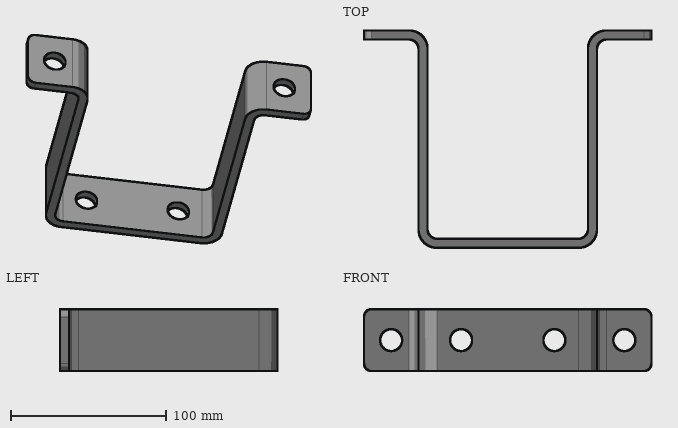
import cadquery as cq

thickness = 6.0
height = 40.0
inner_bend_radius = 6.0
outer_bend_radius = inner_bend_radius + thickness

overall_width = 185.0
overall_depth = 140.0
channel_width = 115.0
corner_radius = 5.0

hole_diameter = 14.0
web_hole_spacing = 60.0
flange_hole_spacing = 150.0

half_width = overall_width / 2
leg_outer_x = channel_width / 2
leg_inner_x = leg_outer_x - thickness
flange_front_y = overall_depth - thickness


def make_bent_strip():
    """Extrude the sharp-cornered hat profile, then round its four bends."""
    profile = [
        (-half_width, overall_depth),
        (-leg_inner_x, overall_depth),
        (-leg_inner_x, thickness),
        (leg_inner_x, thickness),
        (leg_inner_x, overall_depth),
        (half_width, overall_depth),
        (half_width, flange_front_y),
        (leg_outer_x, flange_front_y),
        (leg_outer_x, 0),
        (-leg_outer_x, 0),
        (-leg_outer_x, flange_front_y),
        (-half_width, flange_front_y),
    ]
    inner_bends = []
    outer_bends = []
    for side in (-1, 1):
        inner_bends.append((side * leg_inner_x, thickness))
        inner_bends.append((side * leg_outer_x, flange_front_y))
        outer_bends.append((side * leg_outer_x, 0))
        outer_bends.append((side * leg_inner_x, overall_depth))

    strip = cq.Workplane("XY").polyline(profile).close().extrude(height / 2, both=True)
    strip = round_vertical_edges(strip, inner_bends, inner_bend_radius)
    return round_vertical_edges(strip, outer_bends, outer_bend_radius)


def round_vertical_edges(body, positions, radius):
    """Fillet the vertical edges that stand at the given XY positions."""
    for x, y in positions:
        edge = cq.selectors.NearestToPointSelector((x, y, 0))
        body = body.edges("|Z").edges(edge).fillet(radius)
    return body


def round_flange_corners(body):
    """Round the top and bottom corners at both flange ends."""
    return body.faces("<X or >X").edges("|Y").fillet(corner_radius)


def cut_holes(body, spacing, start_y):
    """Cut a symmetric pair of holes through one sheet thickness along Y."""
    half_spacing = spacing / 2
    drills = (
        cq.Workplane("XZ", origin=(0, start_y, 0))
        .pushPoints([(-half_spacing, 0), (half_spacing, 0)])
        .circle(hole_diameter / 2)
        .extrude(-thickness)
    )
    return body.cut(drills)


result = make_bent_strip()
result = round_flange_corners(result)
result = cut_holes(result, web_hole_spacing, 0)
result = cut_holes(result, flange_hole_spacing, flange_front_y)